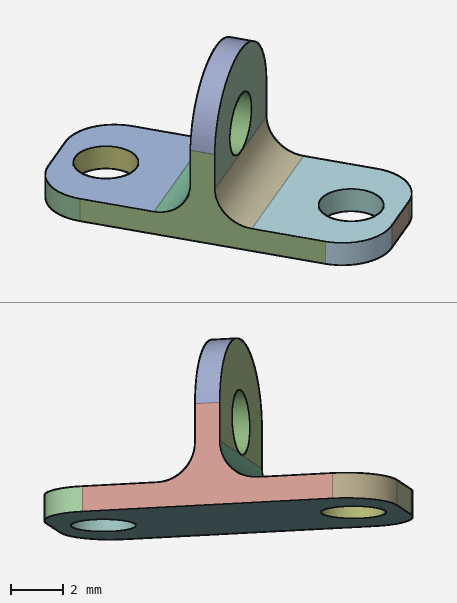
import cadquery as cq

length = 14.0
width = 6.0
height = 7.0
thickness = 1.0
corner_radius = 2.0
hole_diameter = 2.5
mount_hole_spacing = 10.0
lug_hole_height = 3.75
fillet_radius = 1.5

lug_radius = width / 2
lug_arc_height = height - lug_radius


def make_base():
    """Flat plate with rounded corners, resting on Z = 0."""
    plate = cq.Workplane("XY").box(length, width, thickness, centered=(True, True, False))
    return plate.edges("|Z").fillet(corner_radius)


def make_lug():
    """Upright round-topped plate across the middle of the base."""
    return (
        cq.Workplane("YZ")
        .moveTo(-lug_radius, 0)
        .lineTo(-lug_radius, lug_arc_height)
        .threePointArc((0, height), (lug_radius, lug_arc_height))
        .lineTo(lug_radius, 0)
        .close()
        .extrude(thickness / 2, both=True)
    )


def make_root_fillet(side):
    """Concave fillet between base and lug; side is +1 or -1 along X."""
    lug_face = side * thickness / 2
    outer_end = lug_face + side * fillet_radius
    fillet_top = thickness + fillet_radius
    return (
        cq.Workplane("XZ")
        .moveTo(0, 0)
        .lineTo(outer_end, 0)
        .lineTo(outer_end, thickness)
        .radiusArc((lug_face, fillet_top), side * fillet_radius)
        .lineTo(0, fillet_top)
        .close()
        .extrude(width / 2, both=True)
    )


def make_mount_holes():
    """Vertical cutters for the two holes through the base."""
    return (
        cq.Workplane("XY")
        .pushPoints([(side * mount_hole_spacing / 2, 0) for side in (-1, 1)])
        .circle(hole_diameter / 2)
        .extrude(thickness)
    )


def make_lug_hole():
    """Cutter along X for the hole through the lug."""
    return (
        cq.Workplane("YZ", origin=(-thickness / 2, 0, lug_hole_height))
        .circle(hole_diameter / 2)
        .extrude(thickness)
    )


body = make_base().union(make_lug())
for side in (-1, 1):
    body = body.union(make_root_fillet(side))

result = body.cut(make_mount_holes()).cut(make_lug_hole())